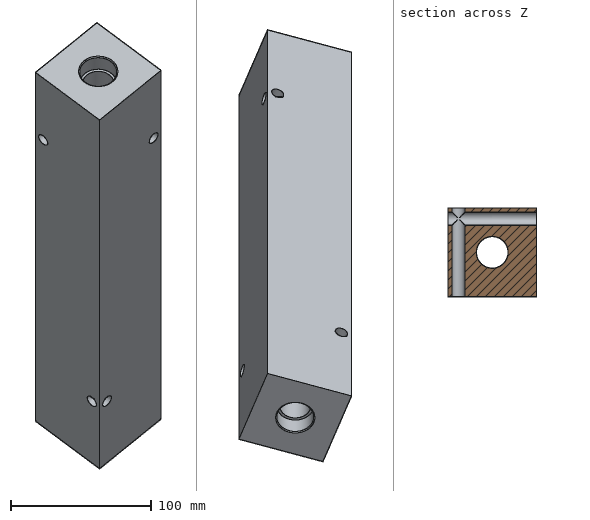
import cadquery as cq

length = 393.7
width = 63.5

bore_diameter = 22.5
counterbore_diameter = 26.5
counterbore_depth = 13.8
mouth_diameter = 28.0
mouth_chamfer = (mouth_diameter - counterbore_diameter) / 2

cross_hole_diameter = 9.0
cross_hole_offset = 24.0
cross_hole_height = 127.0


def bar_with_bore():
    bar = cq.Workplane("XY").box(width, width, length)
    for end_face in (">Z", "<Z"):
        bar = bar.faces(end_face).workplane().cboreHole(
            bore_diameter, counterbore_diameter, counterbore_depth
        )
        bar = bar.faces(end_face).edges("%CIRCLE").chamfer(mouth_chamfer)
    return bar


def cross_holes(plane, offset):
    """Two through holes, placed point-symmetrically about the bar centre."""
    upper = (offset, cross_hole_height)
    lower = (-offset, -cross_hole_height)
    drill = cq.Workplane(plane).pushPoints([upper, lower]).circle(cross_hole_diameter / 2)
    return drill.extrude(width, both=True)


along_y = cross_holes("XZ", -cross_hole_offset)
along_x = cross_holes("YZ", cross_hole_offset)
result = bar_with_bore().cut(along_y).cut(along_x)